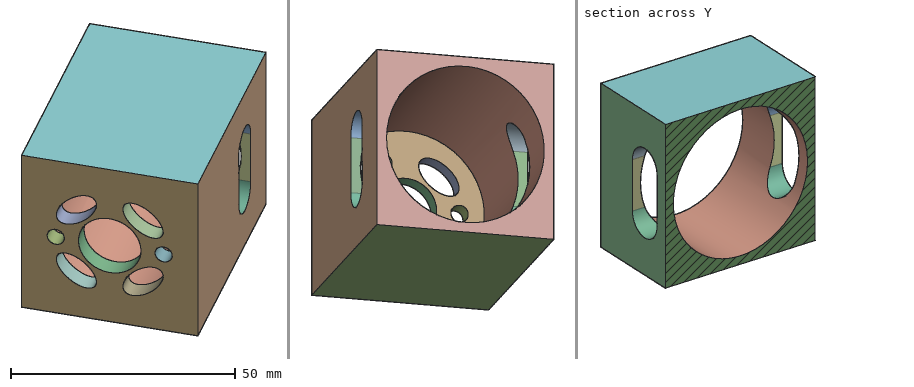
import cadquery as cq

side = 41.0
length = 54.5

cavity_diameter = 36.5
front_wall = 4.5

shaft_hole_diameter = 14.5
screw_hole_diameter = 4.0
screw_hole_offset = 12.55
vent_offset_x = 7.75
vent_offset_z = 8.2
vent_major_radius = 5.5
vent_minor_radius = 3.05
vent_tilt = 40.0

slot_width = 9.5
slot_height = 22.35
slot_center_y = 37.5


def make_housing():
    """Square block with a blind round cavity behind the front wall."""
    block = cq.Workplane("XY").box(side, length, side).translate((0, length / 2, 0))
    cavity = (
        cq.Workplane("XZ", origin=(0, length, 0))
        .circle(cavity_diameter / 2)
        .extrude(length - front_wall)
    )
    return block.cut(cavity)


def front_sketch():
    """Plane on the inner side of the front wall; extrusions run toward the front."""
    return cq.Workplane("XZ", origin=(0, front_wall, 0))


def cut_round_holes(body):
    shaft_hole = front_sketch().circle(shaft_hole_diameter / 2).extrude(front_wall)
    screw_holes = (
        front_sketch()
        .pushPoints([(-screw_hole_offset, 0), (screw_hole_offset, 0)])
        .circle(screw_hole_diameter / 2)
        .extrude(front_wall)
    )
    return body.cut(shaft_hole).cut(screw_holes)


def cut_vents(body):
    """Four elliptical vents, mirrored about both centre planes."""
    for x_sign in (-1, 1):
        for z_sign in (-1, 1):
            vent = (
                front_sketch()
                .center(x_sign * vent_offset_x, z_sign * vent_offset_z)
                .ellipse(vent_major_radius, vent_minor_radius, -x_sign * z_sign * vent_tilt)
                .extrude(front_wall)
            )
            body = body.cut(vent)
    return body


def cut_side_slot(body):
    slot = (
        cq.Workplane("YZ")
        .center(slot_center_y, 0)
        .slot2D(slot_height, slot_width, 90)
        .extrude(side / 2, both=True)
    )
    return body.cut(slot)


result = cut_side_slot(cut_vents(cut_round_holes(make_housing())))